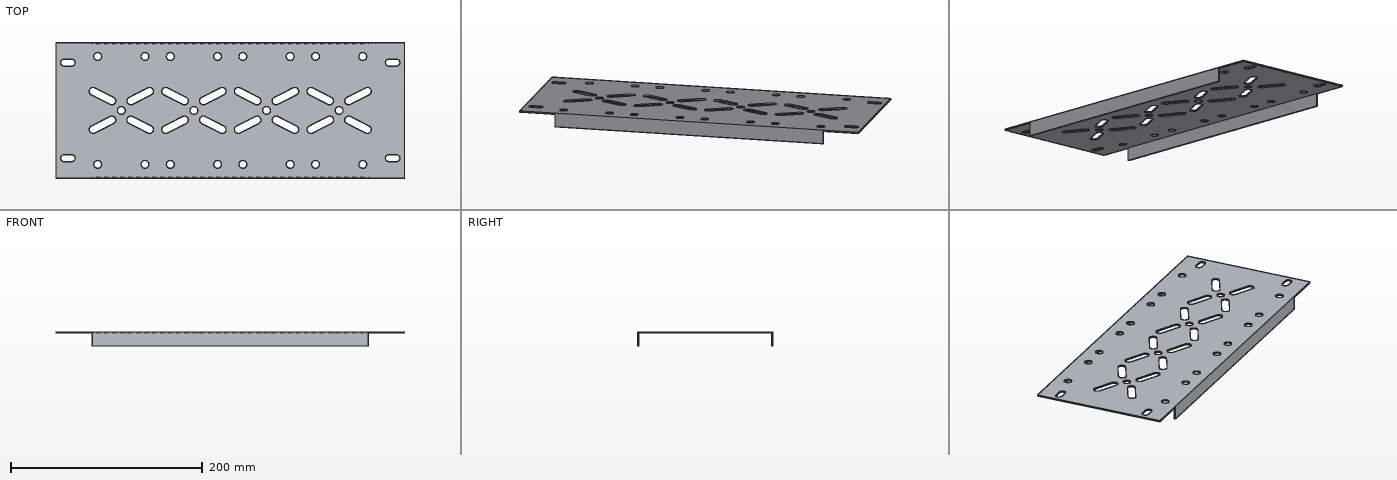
import cadquery as cq

PANEL_LENGTH = 365.0
PANEL_WIDTH = 142.0
PANEL_HEIGHT = 15.0
SHEET_THICKNESS = 1.5
FLANGE_LENGTH = 289.0

MOUNT_SLOT_LENGTH = 15.0
MOUNT_SLOT_WIDTH = 7.0
MOUNT_SLOT_SPACING_X = 340.0
MOUNT_SLOT_SPACING_Y = 100.0

PATTERN_COUNT = 4
PATTERN_PITCH = 76.0
HOLE_DIAMETER = 8.0
EDGE_HOLE_SPACING_X = 49.5
EDGE_HOLE_SPACING_Y = 113.0
DIAGONAL_SLOT_LENGTH = 30.0
DIAGONAL_SLOT_WIDTH = 8.0
DIAGONAL_SLOT_ANGLE = 27.0
DIAGONAL_SLOT_SPACING_X = 39.5
DIAGONAL_SLOT_SPACING_Y = 30.0

SIDES = (-1, 1)
PATTERN_CENTERS = [(i - (PATTERN_COUNT - 1) / 2) * PATTERN_PITCH for i in range(PATTERN_COUNT)]


def make_panel():
    """Plate with its top face at Z = 0 and the two flanges hanging below it."""
    panel = cq.Workplane("XY").box(
        PANEL_LENGTH, PANEL_WIDTH, SHEET_THICKNESS, centered=(True, True, False)
    ).translate((0, 0, -SHEET_THICKNESS))
    flange_y = (PANEL_WIDTH - SHEET_THICKNESS) / 2
    for side in SIDES:
        flange = cq.Workplane("XY").box(
            FLANGE_LENGTH, SHEET_THICKNESS, PANEL_HEIGHT, centered=(True, True, False)
        ).translate((0, side * flange_y, -PANEL_HEIGHT))
        panel = panel.union(flange)
    return panel


def corner_points(center_x, spacing_x, spacing_y):
    """Four corners of a rectangle centred on (center_x, 0)."""
    return [(center_x + sx * spacing_x / 2, sy * spacing_y / 2) for sx in SIDES for sy in SIDES]


def cut_mount_slots(panel):
    """Corner slots, long side along X."""
    slots = (
        cq.Workplane("XY")
        .pushPoints(corner_points(0, MOUNT_SLOT_SPACING_X, MOUNT_SLOT_SPACING_Y))
        .slot2D(MOUNT_SLOT_LENGTH, MOUNT_SLOT_WIDTH)
        .extrude(-SHEET_THICKNESS)
    )
    return panel.cut(slots)


def cut_round_holes(panel, center_x):
    """One centre hole and four holes near the long edges."""
    points = [(center_x, 0)]
    points += corner_points(center_x, EDGE_HOLE_SPACING_X, EDGE_HOLE_SPACING_Y)
    holes = cq.Workplane("XY").pushPoints(points).circle(HOLE_DIAMETER / 2).extrude(-SHEET_THICKNESS)
    return panel.cut(holes)


def cut_diagonal_slots(panel, center_x):
    """Four slots around the centre hole, each sloping outward away from it."""
    for x, y in corner_points(center_x, DIAGONAL_SLOT_SPACING_X, DIAGONAL_SLOT_SPACING_Y):
        rises_to_right = (x - center_x) * y > 0
        angle = DIAGONAL_SLOT_ANGLE if rises_to_right else -DIAGONAL_SLOT_ANGLE
        slot = (
            cq.Workplane("XY")
            .center(x, y)
            .slot2D(DIAGONAL_SLOT_LENGTH, DIAGONAL_SLOT_WIDTH, angle)
            .extrude(-SHEET_THICKNESS)
        )
        panel = panel.cut(slot)
    return panel


result = cut_mount_slots(make_panel())
for pattern_x in PATTERN_CENTERS:
    result = cut_round_holes(result, pattern_x)
    result = cut_diagonal_slots(result, pattern_x)